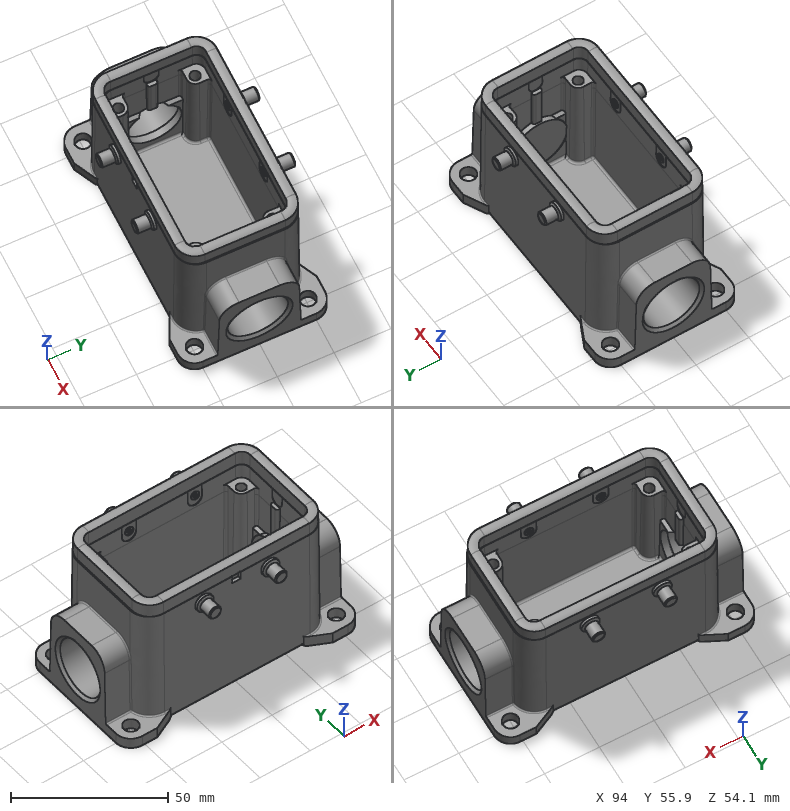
import cadquery as cq
import math

LENGTH = 94.0
HEIGHT = 54.14
PIN_SPAN = 55.86
OVERLAP = 1.0

FOOT_WIDTH = 52.0
FOOT_THICKNESS = 4.24
FOOT_CORNER_RADIUS = 6.0
FOOT_SHOULDER_X = 35.0
FOOT_INNER_X = 26.2
FOOT_INNER_CHAMFER = 0.9
FOOT_HOLE_PITCH_X = LENGTH - 2 * FOOT_CORNER_RADIUS
FOOT_HOLE_PITCH_Y = FOOT_WIDTH - 2 * FOOT_CORNER_RADIUS
FOOT_HOLE_DIAMETER = 5.6

HULL_BOTTOM_Z = 1.33
RIM_BASE_Z = 48.6
HULL_LENGTH = 74.1
HULL_WIDTH = 43.7
HULL_CORNER_RADIUS = 8.0
HULL_DRAFT = 0.35
RIM_LENGTH = 72.6
RIM_WIDTH = 42.8
RIM_CORNER_RADIUS = 7.2
RIM_CROWN = 0.4

MOUTH_LENGTH = 65.4
MOUTH_WIDTH = 35.5
MOUTH_CORNER_RADIUS = 3.3
MOUTH_STRAIGHT_Z = 48.1
MOUTH_STEP = 0.1
KNEE_Z = 39.7
KNEE_INSET = 0.3
FLOOR_Z = 4.3
FLOOR_INSET = 0.85
FLOOR_FILLET = 0.9

POST_PITCH_X = 57.0
POST_PITCH_Y = 27.0
POST_RADIUS = 3.0
POST_TOP_Z = 42.4
POST_DRAFT = 0.5
POST_WALL_FILLET = 1.0
SCREW_DIAMETER = 3.6
SCREW_END_DIAMETER = 2.7
SCREW_DEPTH = 15.0

COLLAR_TOP_Z = 33.65
COLLAR_CORNER_RADIUS = 6.95
COLLAR_SHOULDER_WIDTH = 28.2
COLLAR_BASE_WIDTH = 29.3
ROOT_FILLET = 0.5
ENTRY_Z = 17.0
ENTRY_MOUTH_DIAMETER = 23.5
ENTRY_DIAMETER = 21.3
ENTRY_MOUTH_CHAMFER = 1.1
ENTRY_DEPTH = 14.0
ENTRY_INNER_DIAMETER = 19.4

LEDGE_WALL_Z = 26.0
LEDGE_EDGE_Z = 25.2
LEDGE_EDGE_X = 30.65
LEDGE_FOOT_X = 30.2
PAD_DIAMETER = 21.0
PAD_FRONT_X = LEDGE_FOOT_X
RIB_WIDTH = 3.6
RIB_TOP_Z = 42.6
RIB_CORNER_RADIUS = 0.9
RIB_FRONT_X = 31.0
END_SLOT_WIDTH = 5.2

PIN_PITCH = 26.3
FRONT_PIN_Z = 44.2
BACK_PIN_Z = 44.8
PIN_DIAMETER = 4.85
PIN_TIP_CHAMFER = 0.4
PIN_COLLAR_DIAMETER = 6.7
PIN_COLLAR_END_Y = 23.0
PIN_COLLAR_CONE = 0.5
PIN_TAIL_DIAMETER = 3.2
PIN_TAIL_Y = 17.3
PIN_TAIL_HOLE_DIAMETER = 1.4
PIN_TAIL_HOLE_DEPTH = 2.0
PIN_SLOT_WIDTH = 5.65
PIN_SLOT_BOTTOM_Z = 40.6

NOTCH_WIDTH = 3.4
NOTCH_BOTTOM_Z = 45.6
NOTCH_DEPTH = 1.3


def rounded_block(length, width, radius, z0, z1):
    block = cq.Workplane("XY").box(length, width, z1 - z0, centered=(True, True, False))
    return block.edges("|Z").fillet(radius).translate((0, 0, z0))


def drafted_block(length, width, radius, z0, z1, inset):
    """Rounded block at z0 whose sides lean in by `inset` up to z1 (or down to it)."""
    angle = math.degrees(math.atan2(inset, abs(z1 - z0)))
    outline = cq.Sketch().rect(length, width).vertices().fillet(radius)
    return cq.Workplane("XY").workplane(offset=z0).placeSketch(outline).extrude(z1 - z0, taper=angle)


def x_cylinder(diameter, x0, x1):
    plane = cq.Workplane("YZ").workplane(offset=x0).center(0, ENTRY_Z)
    return plane.circle(diameter / 2).extrude(x1 - x0)


def both_ends(solid):
    """The solid together with its mirror image at the other end of the part."""
    return solid.union(solid.mirror("YZ"))


def make_foot():
    x_end = LENGTH / 2
    y_side = FOOT_WIDTH / 2
    y_hull = HULL_WIDTH / 2 - HULL_DRAFT / 2
    half = (
        cq.Workplane("XY")
        .moveTo(FOOT_INNER_X, 0)
        .lineTo(FOOT_INNER_X, y_hull)
        .lineTo(FOOT_SHOULDER_X, y_side)
        .lineTo(x_end - FOOT_CORNER_RADIUS, y_side)
        .radiusArc((x_end, y_side - FOOT_CORNER_RADIUS), FOOT_CORNER_RADIUS)
        .lineTo(x_end, 0)
        .close()
        .extrude(FOOT_THICKNESS)
    )
    foot = half.union(half.mirror("XZ"))
    return foot.faces("<X").edges("<Z").chamfer(FOOT_INNER_CHAMFER)


def make_collar():
    base = COLLAR_BASE_WIDTH / 2
    side = COLLAR_SHOULDER_WIDTH / 2
    flat = side - COLLAR_CORNER_RADIUS
    shoulder_z = COLLAR_TOP_Z - COLLAR_CORNER_RADIUS
    inner_x = RIM_LENGTH / 2 - OVERLAP
    return (
        cq.Workplane("YZ")
        .workplane(offset=inner_x)
        .moveTo(-base, 0)
        .lineTo(-base, FOOT_THICKNESS)
        .lineTo(-side, shoulder_z)
        .radiusArc((-flat, COLLAR_TOP_Z), COLLAR_CORNER_RADIUS)
        .lineTo(flat, COLLAR_TOP_Z)
        .radiusArc((side, shoulder_z), COLLAR_CORNER_RADIUS)
        .lineTo(base, FOOT_THICKNESS)
        .lineTo(base, 0)
        .close()
        .extrude(LENGTH / 2 - inner_x)
    )


def make_hull():
    return drafted_block(HULL_LENGTH, HULL_WIDTH, HULL_CORNER_RADIUS, HULL_BOTTOM_Z, RIM_BASE_Z, HULL_DRAFT)


def fillet_roots(solid):
    """Blends the collars into the hull, and the collars and hull corners into the feet."""
    seam_x = HULL_LENGTH / 2 - HULL_DRAFT / 2
    side_y = COLLAR_SHOULDER_WIDTH / 2
    shoulder_z = COLLAR_TOP_Z - COLLAR_CORNER_RADIUS
    bend = COLLAR_CORNER_RADIUS * (1 - math.sqrt(0.5))
    corner = HULL_CORNER_RADIUS * (1 - math.sqrt(0.5))
    corner_rise = 1.0
    upper_roots = [
        (seam_x, 0, COLLAR_TOP_Z),
        (seam_x, side_y - bend, COLLAR_TOP_Z - bend),
        (seam_x, side_y, shoulder_z + corner_rise),
        (seam_x, side_y, shoulder_z / 2),
    ]
    foot_roots = [
        ((LENGTH / 2 + seam_x) / 2, COLLAR_BASE_WIDTH / 2, FOOT_THICKNESS),
        (HULL_LENGTH / 2 - corner, HULL_WIDTH / 2 - corner, FOOT_THICKNESS),
    ]
    edges = []
    for x, y, z in upper_roots + foot_roots:
        for sx in (-1, 1):
            for sy in (-1, 1):
                edge = solid.edges(cq.NearestToPointSelector((sx * x, sy * y, z))).val()
                if edge not in edges:
                    edges.append(edge)
    return solid.newObject(edges).fillet(ROOT_FILLET)


def make_rim():
    """Straight rim topped by a shallow crown that runs round the mouth."""
    crown_base = HEIGHT - RIM_CROWN
    rim = rounded_block(RIM_LENGTH, RIM_WIDTH, RIM_CORNER_RADIUS, RIM_BASE_Z, crown_base)
    outer = RIM_WIDTH / 2
    inner = MOUTH_WIDTH / 2
    path = rim.faces(">Z").wires().val()
    crown = (
        cq.Workplane("YZ")
        .moveTo(inner, crown_base)
        .threePointArc(((inner + outer) / 2, HEIGHT), (outer, crown_base))
        .close()
        .sweep(cq.Workplane(path))
    )
    return rim.union(crown)


def make_cavity():
    mouth = rounded_block(MOUTH_LENGTH, MOUTH_WIDTH, MOUTH_CORNER_RADIUS, MOUTH_STRAIGHT_Z, HEIGHT)
    upper = drafted_block(
        MOUTH_LENGTH - 2 * MOUTH_STEP,
        MOUTH_WIDTH - 2 * MOUTH_STEP,
        MOUTH_CORNER_RADIUS,
        MOUTH_STRAIGHT_Z,
        KNEE_Z,
        KNEE_INSET - MOUTH_STEP,
    )
    lower = drafted_block(
        MOUTH_LENGTH - 2 * KNEE_INSET,
        MOUTH_WIDTH - 2 * KNEE_INSET,
        MOUTH_CORNER_RADIUS,
        KNEE_Z,
        FLOOR_Z,
        FLOOR_INSET - KNEE_INSET,
    )
    inside = upper.union(lower)
    for post in make_posts():
        inside = inside.cut(post)
    inside = inside.edges(post_wall_corners()).fillet(POST_WALL_FILLET)
    inside = inside.cut(both_ends(make_ledge()))
    inside = inside.faces("<Z").edges().fillet(FLOOR_FILLET)
    return mouth.union(inside)


def post_wall_corners():
    """Selects the upright corners where the screw posts meet the cavity walls."""
    post_x = POST_PITCH_X / 2 - POST_RADIUS
    post_y = POST_PITCH_Y / 2 - POST_RADIUS
    wall_x = MOUTH_LENGTH / 2
    wall_y = MOUTH_WIDTH / 2
    reach = POST_RADIUS / 3
    selector = None
    for sx in (-1, 1):
        for sy in (-1, 1):
            for x, y in ((post_x, wall_y), (wall_x, post_y)):
                near = (sx * (x - reach), sy * (y - reach), FLOOR_Z)
                far = (sx * (x + reach), sy * (y + reach), POST_TOP_Z)
                box = cq.selectors.BoxSelector(near, far)
                selector = box if selector is None else selector + box
    return selector


def make_posts():
    """Four drafted corner posts, each rounded about its screw axis and running on into the walls."""
    height = POST_TOP_Z - FLOOR_Z
    angle = math.degrees(math.atan2(POST_DRAFT, height))
    post_edge = POST_RADIUS + POST_DRAFT
    size = POST_PITCH_Y
    posts = []
    for sx in (-1, 1):
        for sy in (-1, 1):
            x = sx * (POST_PITCH_X / 2 - post_edge + size / 2)
            y = sy * (POST_PITCH_Y / 2 - post_edge + size / 2)
            outline = cq.Sketch().rect(size, size).vertices().fillet(post_edge)
            post = cq.Workplane("XY").workplane(offset=FLOOR_Z).center(x, y).placeSketch(outline)
            posts.append(post.extrude(height, taper=angle))
    return posts


def make_ledge():
    """Thickened lower part of the +X end wall, with a sloping top."""
    wall_x = MOUTH_LENGTH / 2
    profile = [
        (wall_x, FLOOR_Z),
        (LEDGE_FOOT_X, FLOOR_Z),
        (LEDGE_EDGE_X, LEDGE_EDGE_Z),
        (wall_x, LEDGE_WALL_Z),
    ]
    return cq.Workplane("XZ").polyline(profile).close().extrude(POST_PITCH_Y / 2, both=True)


def make_rib():
    wall_x = MOUTH_LENGTH / 2 + OVERLAP
    height = RIB_TOP_Z - LEDGE_EDGE_Z
    rib = cq.Workplane("XY").box(
        wall_x - RIB_FRONT_X, RIB_WIDTH, height, centered=(False, True, False)
    )
    rib = rib.edges("|Z and <X").fillet(RIB_CORNER_RADIUS)
    return rib.translate((RIB_FRONT_X, 0, LEDGE_EDGE_Z))


def make_entry():
    """Blind bore into the +X end face with a chamfered mouth."""
    x_end = LENGTH / 2
    mouth = ENTRY_MOUTH_DIAMETER / 2
    bore = ENTRY_DIAMETER / 2
    profile = [
        (x_end, 0),
        (x_end, mouth),
        (x_end - ENTRY_MOUTH_CHAMFER, bore),
        (x_end - ENTRY_DEPTH, bore),
        (x_end - ENTRY_DEPTH, 0),
    ]
    turned = cq.Workplane("XZ").polyline(profile).close().revolve(360, (0, 0), (1, 0))
    return turned.translate((0, 0, ENTRY_Z))


def wall_slot(width, bottom_z, y_face):
    """Round-bottomed vertical slot reaching from y = 0 to y_face, open to the mouth."""
    radius = width / 2
    centre_z = bottom_z + radius
    return (
        cq.Workplane("XZ")
        .moveTo(-radius, MOUTH_STRAIGHT_Z)
        .lineTo(-radius, centre_z)
        .threePointArc((0, bottom_z), (radius, centre_z))
        .lineTo(radius, MOUTH_STRAIGHT_Z)
        .close()
        .extrude(-y_face)
    )


def make_pin():
    """Turned pin along +Y: inner tail, wall collar and chamfered stem."""
    tip_y = PIN_SPAN / 2
    stem = PIN_DIAMETER / 2
    collar = PIN_COLLAR_DIAMETER / 2
    tail = PIN_TAIL_DIAMETER / 2
    tail_hole = PIN_TAIL_HOLE_DIAMETER / 2
    collar_start_y = MOUTH_WIDTH / 2 + OVERLAP
    profile = [
        (0, PIN_TAIL_Y + PIN_TAIL_HOLE_DEPTH),
        (tail_hole, PIN_TAIL_Y + PIN_TAIL_HOLE_DEPTH),
        (tail_hole, PIN_TAIL_Y),
        (tail, PIN_TAIL_Y),
        (tail, collar_start_y),
        (collar, collar_start_y),
        (collar, PIN_COLLAR_END_Y - PIN_COLLAR_CONE),
        (stem, PIN_COLLAR_END_Y),
        (stem, tip_y - PIN_TIP_CHAMFER),
        (stem - PIN_TIP_CHAMFER, tip_y),
        (0, tip_y),
    ]
    return cq.Workplane("XY").polyline(profile).close().revolve(360, (0, 0), (0, 1))


def make_notch():
    y_face = HULL_WIDTH / 2 - HULL_DRAFT
    notch = cq.Workplane("XY").box(
        NOTCH_WIDTH, 2 * NOTCH_DEPTH, RIM_BASE_Z - NOTCH_BOTTOM_Z, centered=(True, True, False)
    )
    return notch.translate((0, -y_face, NOTCH_BOTTOM_Z))


def make_screw_hole():
    cone = cq.Solid.makeCone(SCREW_END_DIAMETER / 2, SCREW_DIAMETER / 2, SCREW_DEPTH)
    return cq.Workplane(cone).translate((0, 0, POST_TOP_Z - SCREW_DEPTH))


shell = make_hull().union(both_ends(make_collar()))
shell = shell.union(both_ends(make_foot()))
shell = fillet_roots(shell)
shell = shell.union(make_rim())

shell = shell.cut(make_cavity())
shell = shell.union(x_cylinder(PAD_DIAMETER, PAD_FRONT_X, MOUTH_LENGTH / 2))
end_slot = wall_slot(END_SLOT_WIDTH, RIB_TOP_Z, MOUTH_LENGTH / 2 - MOUTH_STEP)
for angle in (90, -90):
    shell = shell.cut(end_slot.rotate((0, 0, 0), (0, 0, 1), angle))
shell = shell.union(both_ends(make_rib()))

shell = shell.cut(both_ends(make_entry()))
shell = shell.cut(x_cylinder(ENTRY_INNER_DIAMETER, -LENGTH / 2, 0))

pin_slot = wall_slot(PIN_SLOT_WIDTH, PIN_SLOT_BOTTOM_Z, MOUTH_WIDTH / 2 - MOUTH_STEP)
pin = make_pin()
for x in (-PIN_PITCH / 2, PIN_PITCH / 2):
    for turn, z in ((0, BACK_PIN_Z), (180, FRONT_PIN_Z)):
        shell = shell.cut(pin_slot.rotate((0, 0, 0), (0, 0, 1), turn).translate((x, 0, 0)))
        shell = shell.union(pin.rotate((0, 0, 0), (0, 0, 1), turn).translate((x, 0, z)))

for sx in (-1, 1):
    for sy in (-1, 1):
        screw = make_screw_hole().translate((sx * POST_PITCH_X / 2, sy * POST_PITCH_Y / 2, 0))
        shell = shell.cut(screw)
        hole = cq.Workplane("XY").circle(FOOT_HOLE_DIAMETER / 2).extrude(FOOT_THICKNESS)
        shell = shell.cut(hole.translate((sx * FOOT_HOLE_PITCH_X / 2, sy * FOOT_HOLE_PITCH_Y / 2, 0)))
result = shell.cut(make_notch())